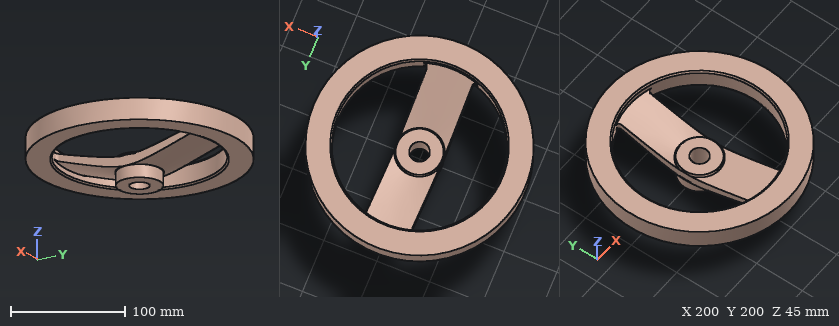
import cadquery as cq
import math

height = 45.0
rim_radius = 100.0
rim_thickness = 20.5
rim_inner_radius = 76.8
rim_chamfer = 1.5
rim_bottom = height - rim_thickness

hub_radius = 21.0
hub_top = 24.2
hub_flare = 1.2
bore_radius = 9.0

spoke_width = 43.0
spoke_root_radius = spoke_width / 2
underside_root = 12.2
underside_reach = 57.5
topside_root = 21.8
topside_end = 38.0
corner_fillet = 3.0


def cone_height(radius, start, end):
    """Height at a radius on the straight line through two (radius, z) points."""
    slope = (end[1] - start[1]) / (end[0] - start[0])
    return start[1] + slope * (radius - start[0])


def revolved(points):
    """Turn a closed (radius, z) outline about the wheel axis."""
    return cq.Workplane("XZ").polyline(points).close().revolve(360, (0, 0), (0, 1))


def make_rim():
    return revolved([
        (rim_inner_radius, rim_bottom + rim_chamfer),
        (rim_inner_radius + rim_chamfer, rim_bottom),
        (rim_radius, rim_bottom),
        (rim_radius, height),
        (rim_inner_radius + rim_chamfer, height),
        (rim_inner_radius, height - rim_chamfer),
    ])


def spoke_envelope():
    """Straight bar that sets the width of the spokes and the hub collar."""
    return cq.Workplane("XY").rect(spoke_width, 2 * rim_radius).extrude(height)


def make_spokes():
    outer = rim_inner_radius + rim_chamfer
    underside_end = cone_height(
        outer, (spoke_root_radius, underside_root), (underside_reach, rim_bottom)
    )
    topside_outer = cone_height(
        outer, (spoke_root_radius, topside_root), (rim_inner_radius, topside_end)
    )
    web = revolved([
        (0, underside_root),
        (spoke_root_radius, underside_root),
        (outer, underside_end),
        (outer, topside_outer),
        (spoke_root_radius, topside_root),
        (0, topside_root),
    ])
    return web.intersect(spoke_envelope())


def make_hub():
    hub = cq.Workplane("XY").circle(hub_radius).extrude(hub_top)
    flare_radius = hub_radius + hub_flare
    flare_bottom = cone_height(
        flare_radius, (spoke_root_radius, topside_root), (rim_inner_radius, topside_end)
    )
    flare_top = flare_bottom + hub_flare
    arc_inset = hub_flare * (1 - math.sqrt(0.5))
    collar = (
        cq.Workplane("XZ")
        .moveTo(0, underside_root)
        .lineTo(flare_radius, underside_root + hub_flare)
        .lineTo(flare_radius, flare_bottom)
        .threePointArc((hub_radius + arc_inset, flare_bottom + arc_inset), (hub_radius, flare_top))
        .lineTo(0, flare_top)
        .close()
        .revolve(360, (0, 0), (0, 1))
    )
    return hub.union(collar.intersect(spoke_envelope()))


wheel = make_rim().union(make_spokes())

corner_y = math.sqrt(rim_inner_radius**2 - spoke_root_radius**2)
for x in (-spoke_root_radius, spoke_root_radius):
    for y in (-corner_y, corner_y):
        corner = cq.selectors.BoxSelector(
            (x - corner_fillet, y - corner_fillet, rim_bottom),
            (x + corner_fillet, y + corner_fillet, height),
        )
        wheel = wheel.edges("|Z").edges(corner).fillet(corner_fillet)

bore = cq.Workplane("XY").circle(bore_radius).extrude(height)
result = wheel.union(make_hub()).cut(bore)